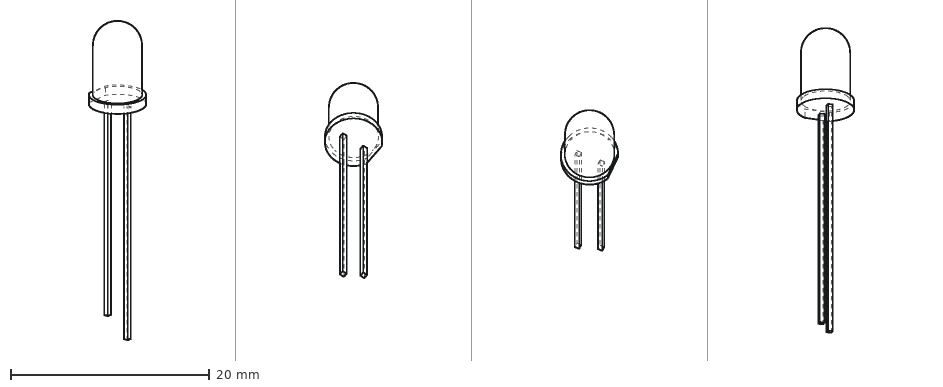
import cadquery as cq

lens_diameter = 5.0
lens_radius = lens_diameter / 2
lens_height = 8.8

flange_diameter = 5.8
flange_radius = flange_diameter / 2
flange_height = 1.0
flat_distance = 2.59

lead_width = 0.5
lead_pitch = 2.54
long_lead_length = 25.0
short_lead_length = 23.0


def make_lens():
    """Domed body, revolved about Z and standing on the Z = 0 plane."""
    dome_base = lens_height - lens_radius
    profile = (
        cq.Workplane("XZ")
        .lineTo(lens_radius, 0)
        .lineTo(lens_radius, dome_base)
        .radiusArc((0, lens_height), -lens_radius)
        .close()
    )
    return profile.revolve(360, (0, 0, 0), (0, 1, 0))


def make_flange():
    """Disc trimmed flat on the -X side."""
    disc = cq.Workplane("XY").circle(flange_radius).extrude(flange_height)
    trimmed_length = flat_distance + flange_radius
    keep = (
        cq.Workplane("XY")
        .box(trimmed_length, flange_diameter, flange_height, centered=(False, True, False))
        .translate((-flat_distance, 0, 0))
    )
    return disc.intersect(keep)


def make_lead(x_position, length):
    """Square lead hanging down from the flange underside."""
    return (
        cq.Workplane("XY")
        .center(x_position, 0)
        .rect(lead_width, lead_width)
        .extrude(-length)
    )


result = make_lens().union(make_flange())
for x_position, length in (
    (-lead_pitch / 2, short_lead_length),
    (lead_pitch / 2, long_lead_length),
):
    result = result.union(make_lead(x_position, length))